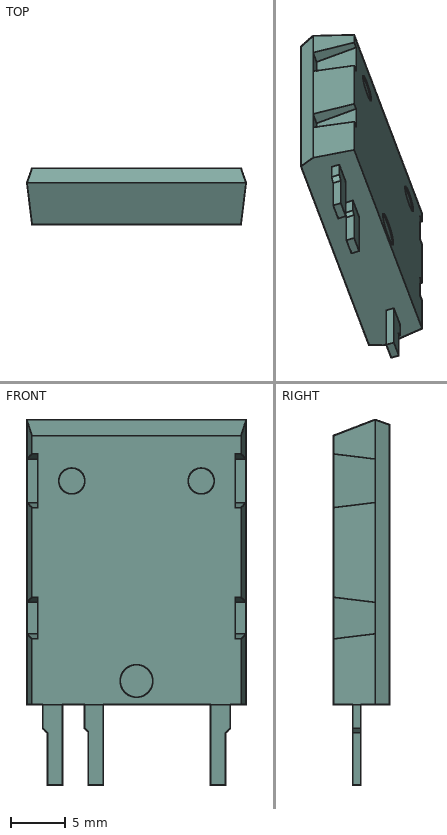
import cadquery as cq

housing_width = 20.28
housing_height = 26.35
front_depth = 3.85
back_depth = 1.35
side_draft = 0.47
front_top_slope = 1.5
back_top_slope = 0.47

notch_wall_x = 9.13
notch_flare = 0.47
notch_spans = [(18.7, 22.7), (6.55, 9.45)]

mark_depth = 0.1
small_mark_diameter = 2.4
small_mark_x = 5.98
small_mark_z = 20.7
large_mark_diameter = 3.0
large_mark_z = 2.2

lead_length = 7.45
lead_thickness = 0.75
lead_width = 1.42
lead_center_y = -1.7
shoulder_length = 2.15
outer_lead_x = 7.55
inner_lead_x = outer_lead_x / 2
outer_shoulder = 0.45
inner_shoulder = 0.35
leads = [
    (-outer_lead_x, outer_shoulder, -1),
    (-inner_lead_x, inner_shoulder, -1),
    (outer_lead_x, outer_shoulder, 1),
]


def housing_half(end_y, top_slope):
    """Drafted half of the housing, from the parting plane to the face at end_y."""
    end_width = housing_width - 2 * side_draft
    end_height = housing_height - top_slope
    return (
        cq.Workplane("XZ")
        .center(0, housing_height / 2)
        .rect(housing_width, housing_height)
        .workplane(offset=-end_y)
        .center(0, (end_height - housing_height) / 2)
        .rect(end_width, end_height)
        .loft(ruled=True, combine=True)
    )


def side_notch(side, bottom_z, top_z):
    """Cutter for one notch, flaring in Z towards the front face."""
    return (
        cq.Workplane("YZ", origin=(side * notch_wall_x, 0, 0))
        .polyline([
            (0, bottom_z),
            (-front_depth, bottom_z - notch_flare),
            (-front_depth, top_z + notch_flare),
            (0, top_z),
        ])
        .close()
        .extrude(side * (housing_width / 2 - notch_wall_x))
    )


def round_mark(x, z, diameter):
    """Cutter for a shallow round recess in the front face."""
    return cq.Workplane("XZ", origin=(x, -front_depth, z)).circle(diameter / 2).extrude(-mark_depth)


def make_housing():
    body = housing_half(-front_depth, front_top_slope).union(housing_half(back_depth, back_top_slope))
    for side in (-1, 1):
        for bottom_z, top_z in notch_spans:
            body = body.cut(side_notch(side, bottom_z, top_z))
        body = body.cut(round_mark(side * small_mark_x, small_mark_z, small_mark_diameter))
    return body.cut(round_mark(0, large_mark_z, large_mark_diameter))


def make_lead(center_x, shoulder, side):
    """Flat lead with a shoulder on one edge that ends in a 45 degree slope."""
    plain_edge = center_x - side * lead_width / 2
    stepped_edge = center_x + side * lead_width / 2
    shoulder_edge = stepped_edge + side * shoulder
    return (
        cq.Workplane("XZ", origin=(0, lead_center_y, 0))
        .polyline([
            (plain_edge, 0),
            (shoulder_edge, 0),
            (shoulder_edge, -shoulder_length),
            (stepped_edge, -shoulder_length - shoulder),
            (stepped_edge, -lead_length),
            (plain_edge, -lead_length),
        ])
        .close()
        .extrude(lead_thickness / 2, both=True)
    )


housing = make_housing()
lead_solids = [make_lead(*lead).val() for lead in leads]

result = cq.Compound.makeCompound([housing.val(), *lead_solids])